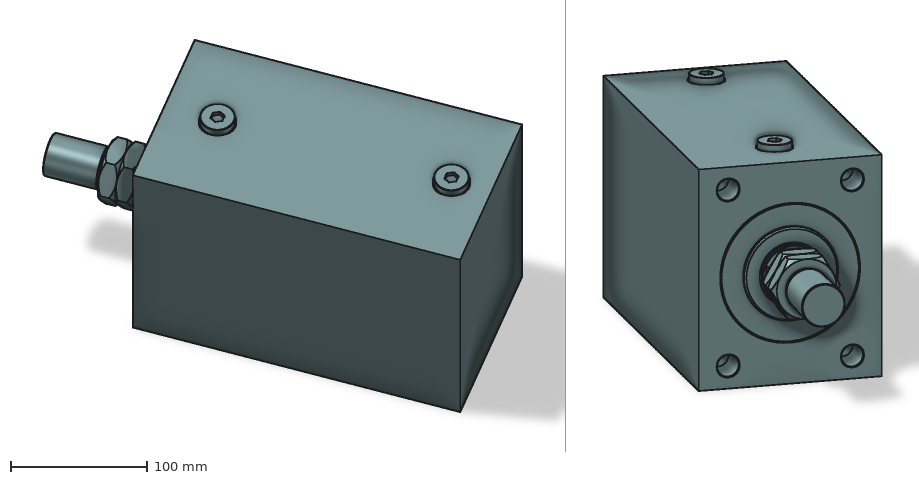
import cadquery as cq
import math


overall_length = 343.0
rod_reach = 88.5
housing_length = overall_length - rod_reach
housing_width = 140.0
housing_height = 169.8

boss_diameter = 72.0
boss_height = 3.8
boss_chamfer = 1.5
rod_recess_diameter = 48.7
rod_recess_depth = 0.7
ring_groove_diameter = 107.0
ring_groove_width = 1.0
ring_groove_depth = 1.0

mount_pitch_y = 95.0
mount_pitch_z = 134.8
mount_diameter = 16.5
mount_depth = 27.5
mount_chamfer = 0.7
drill_half_angle = 59.0

rod_diameter = 45.5
shank_diameter = 45.0
rod_flat_width = 40.8
collar_length = 3.0
rod_insertion = 34.3
stud_diameter = 33.0
neck_diameter = 32.0
neck_length = 2.7
stud_chamfer = 0.7

nut_flat_width = 46.0
nut_thickness = 13.7
nut_count = 2
nut_face_diameter = 45.5
nut_bevel_length = 3.5
nut_setback = 16.0

plug_positions_x = (42.0, 223.5)
plug_diameter = 25.7
plug_chamfer = 0.5
plug_height = 5.0
plug_insertion = 5.0
plug_recess_diameter = 27.8
plug_recess_depth = 1.0
socket_flat_width = 9.3
socket_depth = 3.5

rod_tip_x = -rod_reach
boss_front_x = -boss_height
rod_recess_floor_x = boss_front_x + rod_recess_depth
flats_end_x = boss_front_x - collar_length
nuts_end_x = -nut_setback
nuts_start_x = nuts_end_x - nut_count * nut_thickness
stud_end_x = nuts_start_x - neck_length
housing_top_z = housing_height / 2


def rod_cylinder(diameter, start_x, end_x):
    """Cylinder on the rod axis."""
    return cq.Workplane("YZ", origin=(start_x, 0, 0)).circle(diameter / 2).extrude(end_x - start_x)


def hexagon_diameter(flat_width):
    """Corner-to-corner size of a hexagon."""
    return flat_width / math.cos(math.pi / 6)


def mounting_hole_cutter():
    """Blind drilled hole with a chamfered mouth and a conical bottom, revolved about the rod axis."""
    radius = mount_diameter / 2
    tip_depth = mount_depth + radius / math.tan(math.radians(drill_half_angle))
    return (
        cq.Workplane("XY")
        .moveTo(0, 0)
        .lineTo(0, radius + mount_chamfer)
        .lineTo(mount_chamfer, radius)
        .lineTo(mount_depth, radius)
        .lineTo(tip_depth, 0)
        .close()
        .revolve(360, (0, 0, 0), (1, 0, 0))
    )


def make_housing():
    housing = cq.Workplane("XY").box(housing_length, housing_width, housing_height, centered=(False, True, True))

    boss = rod_cylinder(boss_diameter, boss_front_x, 0).faces("<X").chamfer(boss_chamfer)
    housing = housing.union(boss)

    ring_groove = (
        cq.Workplane("YZ")
        .circle(ring_groove_diameter / 2)
        .circle(ring_groove_diameter / 2 - ring_groove_width)
        .extrude(ring_groove_depth)
    )
    housing = housing.cut(ring_groove)
    housing = housing.cut(rod_cylinder(rod_recess_diameter, boss_front_x, rod_recess_floor_x))
    housing = housing.cut(rod_cylinder(rod_diameter, rod_recess_floor_x, rod_insertion))

    for side_y in (-1, 1):
        for side_z in (-1, 1):
            place = (0, side_y * mount_pitch_y / 2, side_z * mount_pitch_z / 2)
            housing = housing.cut(mounting_hole_cutter().translate(place))

    port_points = [(x, 0) for x in plug_positions_x]
    housing_top = cq.Workplane("XY", origin=(0, 0, housing_top_z)).pushPoints(port_points)
    housing = housing.cut(housing_top.circle(plug_diameter / 2).extrude(-plug_insertion))
    return housing.cut(housing_top.circle(plug_recess_diameter / 2).extrude(-plug_recess_depth))


def make_rod():
    shank = rod_cylinder(shank_diameter, nuts_end_x, flats_end_x)
    square = cq.Workplane("YZ", origin=(nuts_end_x, 0, 0)).rect(rod_flat_width, rod_flat_width)
    shank = shank.intersect(square.extrude(flats_end_x - nuts_end_x))
    collar = rod_cylinder(rod_diameter, flats_end_x, rod_insertion)

    neck = rod_cylinder(neck_diameter, stud_end_x, nuts_end_x)
    stud = rod_cylinder(stud_diameter, rod_tip_x, stud_end_x).faces("<X or >X").chamfer(stud_chamfer)
    return collar.union(shank).union(neck).union(stud)


def make_nut(start_x):
    """Hexagon nut with its corners turned off on both faces."""
    corner_diameter = hexagon_diameter(nut_flat_width)
    blank = cq.Workplane("YZ", origin=(start_x, 0, 0)).polygon(6, corner_diameter).extrude(nut_thickness)

    corner_radius = corner_diameter / 2
    face_radius = nut_face_diameter / 2
    envelope = (
        cq.Workplane("XY", origin=(start_x, 0, 0))
        .moveTo(0, 0)
        .lineTo(0, face_radius)
        .lineTo(nut_bevel_length, corner_radius)
        .lineTo(nut_thickness - nut_bevel_length, corner_radius)
        .lineTo(nut_thickness, face_radius)
        .lineTo(nut_thickness, 0)
        .close()
        .revolve(360, (0, 0, 0), (1, 0, 0))
    )
    bore = rod_cylinder(neck_diameter, start_x, start_x + nut_thickness)
    return blank.intersect(envelope).cut(bore)


def make_plug(center_x):
    """Round port plug with a hexagon socket."""
    plug_bottom = cq.Workplane("XY", origin=(center_x, 0, housing_top_z - plug_insertion))
    plug = plug_bottom.circle(plug_diameter / 2).extrude(plug_insertion + plug_height)
    plug = plug.faces(">Z").chamfer(plug_chamfer)
    socket = (
        cq.Workplane("XY", origin=(center_x, 0, housing_top_z + plug_height))
        .transformed(rotate=(0, 0, 30))
        .polygon(6, hexagon_diameter(socket_flat_width))
        .extrude(-socket_depth)
    )
    return plug.cut(socket)


housing = make_housing()
rod = make_rod()
nuts = [make_nut(nuts_start_x + index * nut_thickness) for index in range(nut_count)]
plugs = [make_plug(x) for x in plug_positions_x]

result = cq.Compound.makeCompound(
    [housing.val(), rod.val()] + [nut.val() for nut in nuts] + [plug.val() for plug in plugs]
)